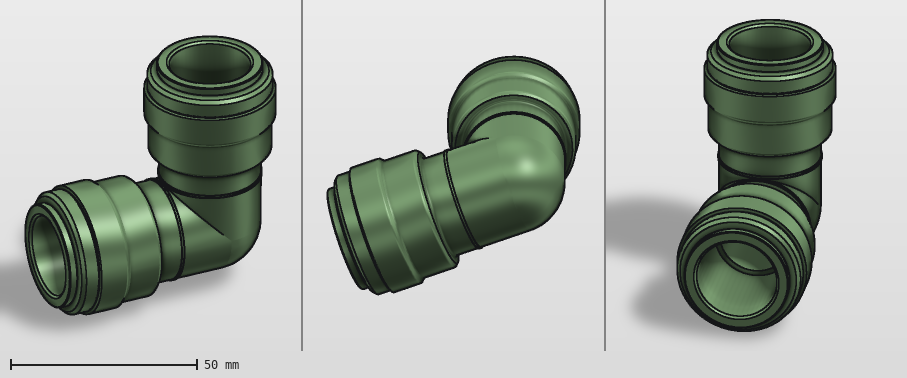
import cadquery as cq

longest_side = 66.05
collar_diameter = 35.5
leg_length = longest_side - collar_diameter / 2

rim_diameter = 28.55
neck_diameter = 24.0
cap_diameter = 33.8
body_diameter = 33.3
cap_groove_diameter = 33.0
pipe_diameter = 27.5
bead_diameter = 28.0

rim_end = 2.4
cap_start = 2.7
cap_end = 7.4
collar_start = 7.85
collar_end = 15.65
body_end = 26.6
bead_start = 33.5
bead_end = 34.2

rim_chamfer = 0.25
cap_chamfer = 1.0
body_chamfer = 0.85
body_round = 0.7
pipe_fillet = 0.9

bore_diameter = 19.2
socket_diameter = 22.0
socket_depth = body_end
mouth_chamfer = 0.65


def disc(diameter, start, end):
    """Cylinder on the Z leg between two distances back from the mouth."""
    return (
        cq.Workplane("XY")
        .workplane(offset=leg_length - end)
        .circle(diameter / 2)
        .extrude(end - start)
    )


def make_body():
    """Body and wider collar, joined by a 45 degree cone with its corners rounded."""
    body_radius = body_diameter / 2
    collar_radius = collar_diameter / 2
    cone_length = collar_radius - body_radius
    outline = [
        (0, leg_length - body_end),
        (body_radius - body_chamfer, leg_length - body_end),
        (body_radius, leg_length - body_end + body_chamfer),
        (body_radius, leg_length - collar_end - cone_length),
        (collar_radius, leg_length - collar_end),
        (collar_radius, leg_length - collar_start),
        (0, leg_length - collar_start),
    ]
    body = cq.Workplane("XZ").polyline(outline).close().revolve(360, (0, 0, 0), (0, 1, 0))
    margin = body_chamfer / 2
    between_ends = cq.selectors.BoxSelector(
        (-margin, -margin, leg_length - body_end + margin),
        (margin, margin, leg_length - collar_start - margin),
    )
    return body.edges("%CIRCLE").edges(between_ends).fillet(body_round)


def make_pipe_fillet():
    """Concave ring that blends the pipe into the shoulder of the body."""
    pipe_radius = pipe_diameter / 2
    shoulder = leg_length - body_end
    outer_radius = pipe_radius + pipe_fillet
    bend = pipe_fillet * (1 - 0.5 ** 0.5)
    return (
        cq.Workplane("XZ")
        .moveTo(0, shoulder)
        .lineTo(outer_radius, shoulder)
        .threePointArc((pipe_radius + bend, shoulder - bend), (pipe_radius, shoulder - pipe_fillet))
        .lineTo(0, shoulder - pipe_fillet)
        .close()
        .revolve(360, (0, 0, 0), (0, 1, 0))
    )


def make_leg():
    """Outside of the vertical leg, from the elbow centre to the mouth."""
    leg = disc(pipe_diameter, body_end, leg_length)
    leg = leg.union(disc(bead_diameter, bead_start, bead_end))
    leg = leg.union(make_pipe_fillet())
    leg = leg.union(make_body())
    leg = leg.union(disc(cap_groove_diameter, cap_end, collar_start))
    leg = leg.union(disc(cap_diameter, cap_start, cap_end).faces(">Z").edges().chamfer(cap_chamfer))
    leg = leg.union(disc(neck_diameter, rim_end, cap_start))
    return leg.union(disc(rim_diameter, 0, rim_end).edges().chamfer(rim_chamfer))


def make_leg_bore():
    """Stepped bore of the vertical leg, opened out by a chamfer at the mouth."""
    mouth = (
        cq.Workplane("XY")
        .workplane(offset=leg_length - mouth_chamfer)
        .circle(socket_diameter / 2)
        .workplane(offset=mouth_chamfer)
        .circle(socket_diameter / 2 + mouth_chamfer)
        .loft(ruled=True)
    )
    return disc(bore_diameter, 0, leg_length).union(disc(socket_diameter, 0, socket_depth)).union(mouth)


def make_elbow(leg, corner_diameter):
    """Join a vertical leg and its copy along -Y with a ball at the corner."""
    front_leg = leg.rotate((0, 0, 0), (1, 0, 0), 90)
    ball = cq.Workplane("XY").sphere(corner_diameter / 2)
    return leg.union(front_leg).union(ball)


outside = make_elbow(make_leg(), pipe_diameter)
inside = make_elbow(make_leg_bore(), bore_diameter)
result = outside.cut(inside)